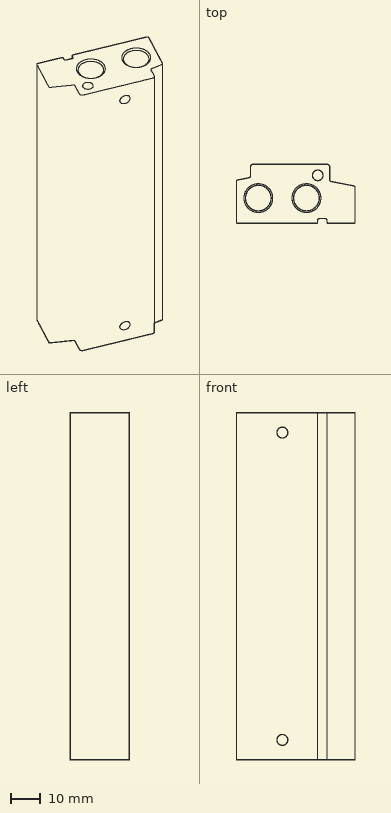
import cadquery as cq
import math

width = 40.0
depth = 20.0
length = 117.0

pad_left = 4.7
pad_right = 31.5
left_shoulder_edge_y = 14.6
right_shoulder_edge_y = 12.6
shoulder_slope = math.radians(11)
pad_corner_radius = 1.0
edge_radius = 0.5

groove_center_x = 28.95
groove_width = 3.1
groove_depth = 1.6

bore_diameter = 8.57
bore_mouth_diameter = 9.7
bore_xs = (7.4, 23.6)
bore_y = 8.55

passage_diameter = 3.5
passage_x = 27.4
passage_y = 16.2

mount_diameter = 3.6
mount_x = sum(bore_xs) / 2
mount_end_distance = 6.75


def make_body():
    left_shoulder_pad_y = left_shoulder_edge_y + pad_left * math.tan(shoulder_slope)
    right_shoulder_pad_y = right_shoulder_edge_y + (width - pad_right) * math.tan(shoulder_slope)
    outline = [
        (0, 0),
        (width, 0),
        (width, right_shoulder_edge_y),
        (pad_right, right_shoulder_pad_y),
        (pad_right, depth),
        (pad_left, depth),
        (pad_left, left_shoulder_pad_y),
        (0, left_shoulder_edge_y),
    ]
    body = cq.Workplane("XY").polyline(outline).close().extrude(length)
    body = body.cut(make_groove())
    body = body.edges("|Z and >Y").fillet(pad_corner_radius)
    below_pad_corners = cq.selectors.BoxSelector(
        (-width, -depth, 0),
        (2 * width, depth - 2 * pad_corner_radius, length),
    )
    return body.edges("|Z").edges(below_pad_corners).fillet(edge_radius)


def make_groove():
    return (
        cq.Workplane("XY")
        .center(groove_center_x, 0)
        .rect(groove_width, 2 * groove_depth)
        .extrude(length)
    )


def make_bore(x):
    """Bore with a 45 degree chamfer at each mouth, as a revolved half section."""
    radius = bore_diameter / 2
    mouth_radius = bore_mouth_diameter / 2
    chamfer = mouth_radius - radius
    half_section = [
        (0, 0),
        (mouth_radius, 0),
        (radius, chamfer),
        (radius, length - chamfer),
        (mouth_radius, length),
        (0, length),
    ]
    bore = cq.Workplane("XZ").polyline(half_section).close().revolve(360, (0, 0), (0, 1))
    return bore.translate((x, bore_y, 0))


def make_passage():
    return cq.Workplane("XY").center(passage_x, passage_y).circle(passage_diameter / 2).extrude(length)


def make_mounting_hole(z):
    return cq.Workplane("XZ").center(mount_x, z).circle(mount_diameter / 2).extrude(-depth)


result = make_body().cut(make_passage())
for bore_x in bore_xs:
    result = result.cut(make_bore(bore_x))
for mount_z in (mount_end_distance, length - mount_end_distance):
    result = result.cut(make_mounting_hole(mount_z))